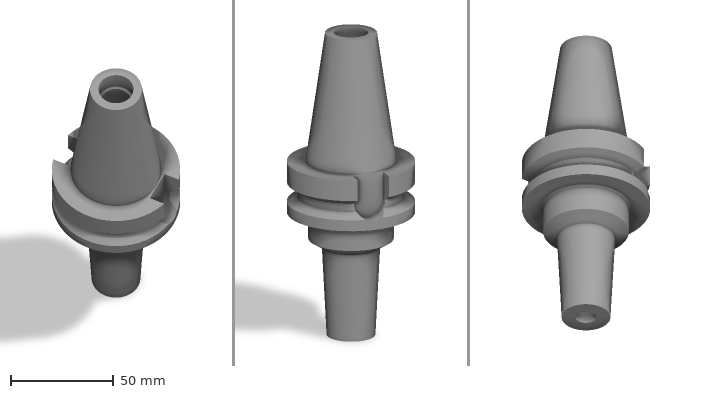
import cadquery as cq

length = 155.4
taper_length = 65.3
flange_top = 66.0
groove_start = 76.8
groove_floor_start = 79.5
groove_floor_end = 83.9
groove_end = 86.7
flange_bottom = 92.3
relief_end = 93.5
collar_bottom = 105.8
nose_start = 110.0

taper_small_radius = 12.7
taper_large_radius = 22.2
flange_radius = 63.0 / 2
groove_radius = 26.5
collar_radius = 21.0
relief_radius = collar_radius + relief_end - flange_bottom
nose_large_radius = 14.3
nose_tip_radius = 12.0

through_radius = 5.1
entry_radius = 8.5
entry_depth = 9.3
thread_radius = 7.1
thread_depth = 24.9

slot_width = 16.3
slot_floor_x = 22.5
slot_bottom = 88.1


def height(distance_below_top):
    return length - distance_below_top


def make_body():
    outline = [
        (0, 0),
        (taper_small_radius, 0),
        (taper_large_radius, taper_length),
        (taper_large_radius, flange_top),
        (flange_radius, flange_top),
        (flange_radius, groove_start),
        (groove_radius, groove_floor_start),
        (groove_radius, groove_floor_end),
        (flange_radius, groove_end),
        (flange_radius, flange_bottom),
        (relief_radius, flange_bottom),
        (collar_radius, relief_end),
        (collar_radius, collar_bottom),
        (nose_large_radius, nose_start),
        (nose_tip_radius, length),
        (0, length),
    ]
    profile = [(radius, height(station)) for radius, station in outline]
    return cq.Workplane("XZ").polyline(profile).close().revolve(360, (0, 0, 0), (0, 1, 0))


def make_bore(radius, depth):
    return cq.Workplane("XY", origin=(0, 0, length)).circle(radius).extrude(-depth)


def make_drive_slot():
    """Round-bottomed slot on the +X side, open at the top of the flange."""
    half_width = slot_width / 2
    top = height(flange_top)
    bottom = height(slot_bottom)
    arc_start = bottom + half_width
    return (
        cq.Workplane("YZ", origin=(slot_floor_x, 0, 0))
        .moveTo(-half_width, top)
        .lineTo(-half_width, arc_start)
        .threePointArc((0, bottom), (half_width, arc_start))
        .lineTo(half_width, top)
        .close()
        .extrude(flange_radius - slot_floor_x)
    )


result = make_body()
for bore_radius, bore_depth in [
    (through_radius, length),
    (thread_radius, thread_depth),
    (entry_radius, entry_depth),
]:
    result = result.cut(make_bore(bore_radius, bore_depth))

for side_angle in (0, 180):
    result = result.cut(make_drive_slot().rotate((0, 0, 0), (0, 0, 1), side_angle))